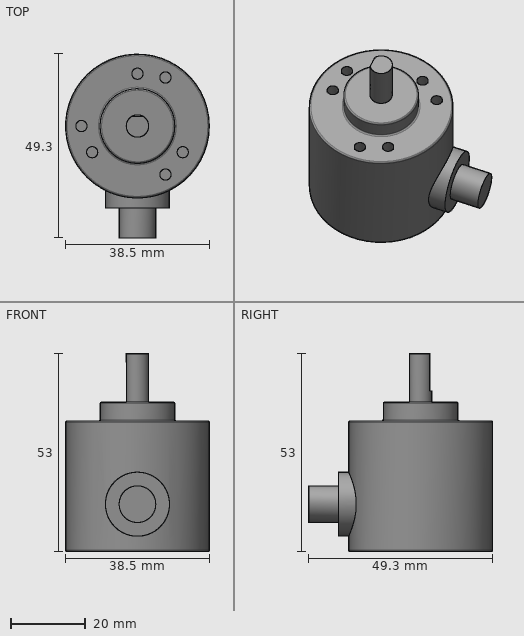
import cadquery as cq

body_diameter = 38.5
body_height = 35.0

boss_diameter = 20.0
boss_height = 5.0
boss_top = body_height + boss_height

edge_radius = 0.4

shaft_diameter = 6.0
shaft_length = 13.0
shaft_top = boss_top + shaft_length
flat_offset = 2.5
flat_length = 10.0

hole_diameter = 3.0
hole_depth = 5.0
holes_per_set = 3
inner_pitch_radius = 14.0
inner_start_angle = 90.0
outer_pitch_radius = 15.0
outer_start_angle = 60.0

gland_diameter = 17.15
gland_reach = 22.0
cable_diameter = 9.81
cable_reach = 30.0
cable_height = 12.7


def upright_cylinder(diameter, bottom, height):
    return cq.Workplane("XY").workplane(offset=bottom).circle(diameter / 2).extrude(height)


def side_cylinder(diameter, reach):
    """Cylinder from the housing axis to Y = -reach, at the height of the cable."""
    return cq.Workplane("XZ").center(0, cable_height).circle(diameter / 2).extrude(reach)


def make_housing():
    """Housing and boss, with both rims of the housing, the boss rim and the boss foot rounded."""
    body = upright_cylinder(body_diameter, 0, body_height)
    boss = upright_cylinder(boss_diameter, body_height, boss_height)
    return body.union(boss).edges("%CIRCLE").fillet(edge_radius)


def make_shaft():
    shaft = upright_cylinder(shaft_diameter, boss_top, shaft_length)
    flat_cut = (
        cq.Workplane("XY", origin=(0, flat_offset, shaft_top))
        .rect(shaft_diameter, shaft_diameter, centered=(True, False))
        .extrude(-flat_length)
    )
    return shaft.cut(flat_cut)


def make_hole_set(pitch_radius, start_angle):
    return (
        cq.Workplane("XY")
        .workplane(offset=body_height - hole_depth)
        .polarArray(pitch_radius, start_angle, 360, holes_per_set)
        .circle(hole_diameter / 2)
        .extrude(hole_depth)
    )


result = (
    make_housing()
    .union(make_shaft())
    .union(side_cylinder(gland_diameter, gland_reach))
    .union(side_cylinder(cable_diameter, cable_reach))
    .cut(make_hole_set(inner_pitch_radius, inner_start_angle))
    .cut(make_hole_set(outer_pitch_radius, outer_start_angle))
)